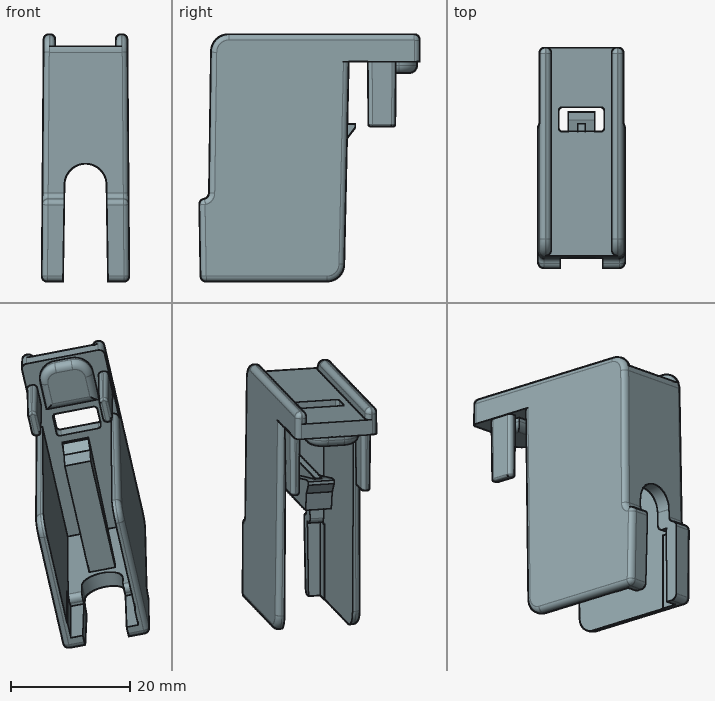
import cadquery as cq
import math

total_height = 41.5
total_depth = 37.0
bottom_half_width = 7.362
top_half_width = 7.04
side_fillet = 0.95

selection_margin = 0.1

front_top_y = 1.96
front_ledge_y = 1.62
front_ledge_z = 14.87
foot_top_z = 12.93
foot_bottom_y = 0.2
foot_edge_radius = 1.0
back_top_y = 25.1
back_bottom_y = 24.35
corner_radius = 3.0

plate_bottom_z = 36.9
plate_overlap_y = 18.0
plate_corner_radius = 1.0
rail_floor_z = 39.5
rail_inner_x = 5.07
rail_inner_fillet = 0.9

side_wall = 1.5
front_wall = 2.6
cavity_step_y = 2.9
cavity_step_z = 13.0
cavity_step_height = 1.0
foot_wall = 2.33
foot_pocket_back_y = 5.15
foot_pocket_side_wall = 1.6
slot_half_width = 3.5
slot_bottom_half_width = 3.75
slot_top_z = 19.75

window_width = 7.6
window_front_y = 22.93
window_back_y = 26.98
window_radius = 0.6

arm_width = 4.45
arm_bottom_z = 21.0
hook_top_z = 26.45
hook_tip_y = 26.2
hook_tip_height = 0.6
hook_root_y = 24.88
hook_bottom_z = 24.1
arm_front_z = 22.0
rib_width = 1.2
rib_back_y = 24.25

leg_front_y = 28.25
leg_back_y = 33.0
leg_outer_x = 6.95
leg_thickness = 1.7
leg_bottom_z = 26.0
leg_draft = 0.2
leg_fillet = 0.7
leg_tip_fillet = 0.4
pad_half_width = 4.5
pad_front_y = 28.5
pad_back_y = 36.54
pad_bottom_z = 34.97
pad_corner_radius = 3.1
pad_edge_fillet = 1.3


def extrude_outline(outline, half_width):
    """Extrude a closed YZ outline symmetrically along X."""
    return outline.extrude(half_width, both=True)


def side_taper():
    """Wedge that gives the housing its drafted side walls."""
    return (
        cq.Workplane("XZ")
        .polyline(
            [
                (-bottom_half_width, 0),
                (bottom_half_width, 0),
                (top_half_width, total_height),
                (-top_half_width, total_height),
            ]
        )
        .close()
        .extrude(-total_depth)
    )


def make_body():
    """Drafted block with a stepped foot, rounded all around its side edges."""
    ledge_mid = (front_ledge_y / 2, (front_ledge_z + foot_top_z) / 2)
    diagonal = 1 - math.sqrt(0.5)
    outline = (
        cq.Workplane("YZ")
        .moveTo(front_top_y + corner_radius, total_height)
        .threePointArc(
            (
                front_top_y + corner_radius * diagonal,
                total_height - corner_radius * diagonal,
            ),
            (front_top_y, total_height - corner_radius),
        )
        .lineTo(front_ledge_y, front_ledge_z)
        .tangentArcPoint(ledge_mid, relative=False)
        .tangentArcPoint((0, foot_top_z), relative=False)
        .lineTo(foot_bottom_y, foot_edge_radius)
        .tangentArcPoint((foot_bottom_y + foot_edge_radius, 0), relative=False)
        .lineTo(back_bottom_y - corner_radius, 0)
        .tangentArcPoint((back_bottom_y, corner_radius), relative=False)
        .lineTo(back_top_y, plate_bottom_z)
        .lineTo(back_top_y, total_height)
        .close()
    )
    block = extrude_outline(outline, bottom_half_width).intersect(side_taper())
    return block.faces("<X or >X").edges().fillet(side_fillet)


def make_plate():
    """Overhanging plate; its upper and back side edges are rounded."""
    outline = (
        cq.Workplane("YZ")
        .moveTo(plate_overlap_y, plate_bottom_z)
        .lineTo(total_depth, plate_bottom_z)
        .lineTo(total_depth, total_height - plate_corner_radius)
        .tangentArcPoint((total_depth - plate_corner_radius, total_height), relative=False)
        .lineTo(plate_overlap_y, total_height)
        .close()
    )
    plate = extrude_outline(outline, bottom_half_width).intersect(side_taper())
    rounded_zone = cq.selectors.BoxSelector(
        (-total_depth, plate_overlap_y + selection_margin, plate_bottom_z + selection_margin),
        (total_depth, total_depth + selection_margin, total_height + selection_margin),
    )
    return plate.faces("<X or >X").edges(rounded_zone).fillet(side_fillet)


def cut_rail_channel(part):
    """Lower the top between the rails and round the inner edges of the rails."""
    channel = cq.Workplane("XY").box(
        2 * rail_inner_x, total_depth, total_height, centered=(True, False, False)
    )
    part = part.cut(channel.translate((0, 0, rail_floor_z)))
    for side in (-1, 1):
        inner_face_zone = cq.selectors.BoxSelector(
            (side * rail_inner_x - selection_margin, -selection_margin, rail_floor_z + selection_margin),
            (
                side * rail_inner_x + selection_margin,
                total_depth + selection_margin,
                total_height + selection_margin,
            ),
        )
        part = part.edges(inner_face_zone).fillet(rail_inner_fillet)
    return part


def make_cavity():
    """Inside of the housing, open at the back and at the bottom."""
    outline = (
        cq.Workplane("YZ")
        .moveTo(front_top_y + front_wall, plate_bottom_z)
        .lineTo(front_ledge_y + front_wall, cavity_step_z + cavity_step_height)
        .tangentArcPoint((cavity_step_y, cavity_step_z), relative=False)
        .lineTo(foot_pocket_back_y, cavity_step_z)
        .lineTo(foot_pocket_back_y, 0)
        .lineTo(total_depth, 0)
        .lineTo(total_depth, plate_bottom_z)
        .close()
    )
    return extrude_outline(outline, bottom_half_width - side_wall)


def make_foot_pocket():
    """Slightly narrower part of the inside that reaches forward into the foot."""
    return cq.Workplane("XY", origin=(0, foot_wall, 0)).box(
        2 * (bottom_half_width - foot_pocket_side_wall),
        foot_pocket_back_y - foot_wall,
        cavity_step_z,
        centered=(True, False, False),
    )


def make_cable_slot():
    """Round-topped slot through the front wall, widening slightly downwards."""
    arch_center_z = slot_top_z - slot_half_width
    return (
        cq.Workplane("XZ")
        .moveTo(-slot_bottom_half_width, 0)
        .lineTo(-slot_half_width, arch_center_z)
        .threePointArc((0, slot_top_z), (slot_half_width, arch_center_z))
        .lineTo(slot_bottom_half_width, 0)
        .close()
        .extrude(-total_depth / 2)
    )


def make_window():
    depth = window_back_y - window_front_y
    return (
        cq.Workplane("XY", origin=(0, (window_front_y + window_back_y) / 2, plate_bottom_z))
        .rect(window_width, depth)
        .extrude(total_height)
        .edges("|Z")
        .fillet(window_radius)
    )


def make_latch():
    """Latch arm from the front wall to the hook behind the body, with a stiffening rib."""
    arm_front_y = front_ledge_y + front_wall / 2
    arm = (
        cq.Workplane("YZ")
        .moveTo(arm_front_y, arm_bottom_z)
        .lineTo(arm_front_y, arm_front_z)
        .lineTo(hook_root_y, hook_top_z)
        .lineTo(hook_tip_y, hook_top_z)
        .lineTo(hook_tip_y, hook_top_z - hook_tip_height)
        .lineTo(hook_root_y, hook_bottom_z)
        .lineTo(rib_back_y, arm_bottom_z)
        .close()
    )
    rib = (
        cq.Workplane("YZ")
        .moveTo(arm_front_y, arm_bottom_z)
        .lineTo(arm_front_y, hook_top_z)
        .lineTo(rib_back_y, hook_top_z)
        .lineTo(rib_back_y, arm_bottom_z)
        .close()
    )
    return extrude_outline(arm, arm_width / 2).union(extrude_outline(rib, rib_width / 2))


def make_leg(side):
    """Guide leg hanging from the plate at one side, tapering towards its tip."""
    center_x = side * (leg_outer_x - leg_thickness / 2)
    center_y = (leg_front_y + leg_back_y) / 2
    leg_width = leg_back_y - leg_front_y
    height = plate_bottom_z - leg_bottom_z
    return (
        cq.Workplane("XY", origin=(center_x, center_y, plate_bottom_z))
        .rect(leg_thickness, leg_width)
        .workplane(offset=-height)
        .rect(leg_thickness - leg_draft, leg_width - leg_draft)
        .loft()
        .edges("not(#Z)")
        .fillet(leg_fillet)
        .faces("<Z")
        .edges()
        .fillet(leg_tip_fillet)
    )


def make_pad():
    """Low rounded pad under the overhang, between the guide legs."""
    depth = pad_back_y - pad_front_y
    return (
        cq.Workplane("XY", origin=(0, pad_front_y + depth / 2, plate_bottom_z))
        .rect(2 * pad_half_width, depth)
        .extrude(pad_bottom_z - plate_bottom_z)
        .edges("|Z and >Y")
        .fillet(pad_corner_radius)
        .faces("<Z")
        .edges()
        .fillet(pad_edge_fillet)
    )


result = cut_rail_channel(make_body().union(make_plate()))
result = result.cut(make_cavity()).cut(make_foot_pocket())
result = result.cut(make_cable_slot()).cut(make_window())
result = result.union(make_latch()).union(make_pad())
for leg_side in (-1, 1):
    result = result.union(make_leg(leg_side))